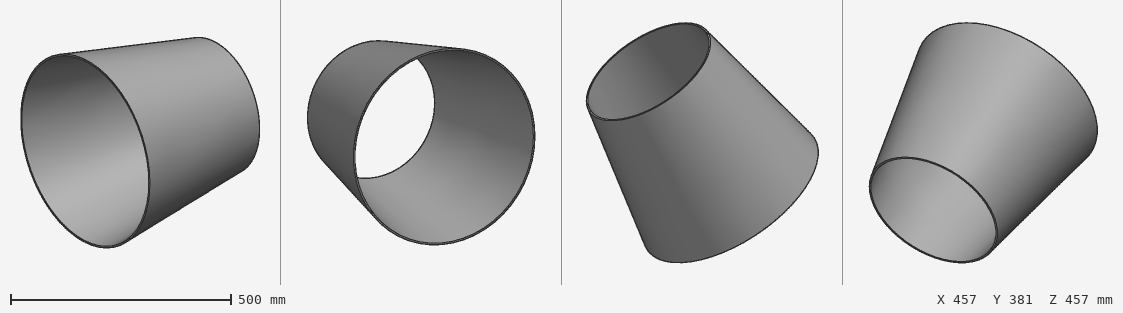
import cadquery as cq

large_diameter = 457.0
small_diameter = 324.0
length = 381.0
wall = 4.0


def cone(start_diameter, end_diameter):
    """Solid cone frustum along +Y from the wide end to the narrow end."""
    profile = [
        (0, 0),
        (start_diameter / 2, 0),
        (end_diameter / 2, length),
        (0, length),
    ]
    return cq.Workplane("XY").polyline(profile).close().revolve(360, (0, 0, 0), (0, 1, 0))


outer_cone = cone(large_diameter, small_diameter)
bore = cone(large_diameter - 2 * wall, small_diameter - 2 * wall)

result = outer_cone.cut(bore)